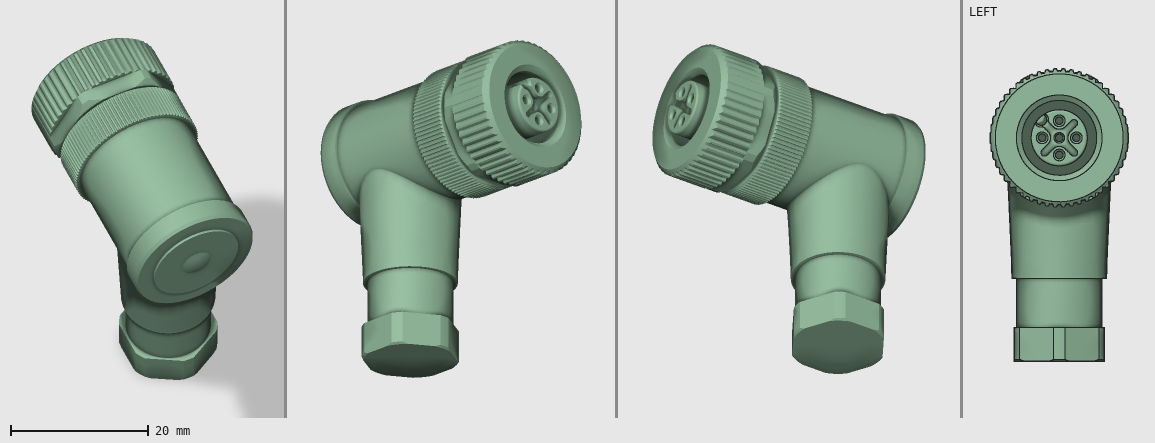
import cadquery as cq
import math


nut_front = 0.8
knurl_end = 7.8
nut_end = 10.25
ring_front = 10.7
ring_end = 16.3
cap_front = 32.95
cap_end = 36.25
disc_end = 36.6
dome_tip = 37.1

nut_radius = 20.2 / 2
nut_chamfer = 0.75
nut_back_chamfer = 0.8
nut_back_radius = 9.4
hex_flats = 18.05
nut_teeth = 52
tooth_depth = 0.4
tooth_tip_half = 0.15
step_tip_half = 0.1
tooth_root_half = 0.2
thread_radius = 10.93 / 2
bore_mouth_radius = 12.5 / 2
bore_floor = knurl_end

tooth_trim = 0.05

ring_radius = 9.8
ring_chamfer = 0.25
ring_teeth = 100
ring_tooth_depth = 0.2
ring_tip_half = 0.1
ring_root_half = 0.1
neck_radius = 13.5 / 2
neck_collar_radius = 6.9
neck_collar_length = 0.15

body_radius = 18.0 / 2
cap_radius = 19.0 / 2
cap_chamfer = 0.5
cap_chamfer_drop = 0.25
disc_radius = 13.5 / 2
dome_radius = 2.2

insert_radius = 8.2 / 2
insert_rounding = 0.35
pin_circle = 5.0 / 2
pin_radius = 1.1 / 2
pin_mouth_radius = 0.85
pin_sink = 0.35
pin_depth = 4.25
centre_mouth_radius = 0.75
centre_sink = 0.2
pin_boss_radius = 1.25
pocket_depth = 1.3
pocket_reach = 3.05
key_radius = 0.8
key_mouth_radius = 1.05
key_sink = 0.35
key_offset = 3.7
key_depth = 3.4

outlet_x = 26.97
boot_bottom = -20.5
boot_lip = 0.3
boot_radius = 6.9
boot_top = -4.25
boot_top_radius = 7.65
tube_radius = 12.5 / 2
gland_top = -27.65
gland_bottom = nut_radius - 42.7
gland_radius = 7.15
gland_flats = 13.15
gland_chamfer = 0.3


def disc(start, end, radius):
    """Cylinder on the main axis between two stations."""
    return cq.Workplane("YZ", origin=(start, 0, 0)).circle(radius).extrude(end - start)


def turned(points):
    """Solid turned about the main axis from (x, radius) points; the axis closes the outline."""
    outline = [(points[0][0], 0)] + points + [(points[-1][0], 0)]
    return cq.Workplane("XY").polyline(outline).close().revolve(360, (0, 0, 0), (1, 0, 0))


def countersunk_hole(start, mouth_radius, radius, sink, end):
    """Cutter for a blind hole on the main axis with a conical mouth."""
    return turned([(start, mouth_radius), (start + sink, radius), (end, radius)])


def polar(radius, angle):
    """Point (y, z) at an angle measured from +Z towards +Y."""
    return (radius * math.sin(angle), radius * math.cos(angle))


def trapezoid_groove(radius, depth, left, right, tip_half, root_half):
    """Corners of a groove between two tooth centres."""
    root = radius - depth
    middle = (left + right) / 2
    return [
        polar(radius, left + tip_half / radius),
        polar(root, middle - root_half / root),
        polar(root, middle + root_half / root),
        polar(radius, right - tip_half / radius),
    ]


def step_groove(radius, left, right, tip_half):
    """Corners of a stepped groove: one wall along Z, the other at 45 degrees to the radius."""
    ends = [polar(radius, left + tip_half / radius), polar(radius, right - tip_half / radius)]
    upper, side = sorted(ends, key=lambda point: abs(point[0]))
    side_angle = math.atan2(abs(side[1]), abs(side[0]))
    slope = math.tan(max(0, math.pi / 4 - side_angle))
    rise = (abs(side[0]) - abs(upper[0])) * slope
    corner = (upper[0], side[1] + math.copysign(rise, side[1]))
    return [ends[0], corner, ends[1]]


def nut_outline():
    """Toothed outline of the nut: regular at top and bottom, stepped towards the two sides."""
    pitch = 2 * math.pi / nut_teeth
    rough_radius = nut_radius + tooth_trim
    points = []
    for i in range(nut_teeth):
        left = (i - 0.5) * pitch
        right = left + pitch
        middle = i * pitch
        if abs(math.cos(middle)) > math.cos(math.radians(30)):
            points += trapezoid_groove(
                rough_radius, tooth_depth + tooth_trim, left, right, tooth_tip_half, tooth_root_half
            )
        elif abs(math.cos(middle)) < math.sin(pitch / 2):
            points += [polar(rough_radius, left), polar(rough_radius, right)]
        else:
            points += step_groove(rough_radius, left, right, step_tip_half)
    return points


def ring_outline():
    """Evenly toothed outline of the knurled ring."""
    pitch = 2 * math.pi / ring_teeth
    points = []
    for i in range(ring_teeth):
        points += trapezoid_groove(
            ring_radius + tooth_trim,
            ring_tooth_depth + tooth_trim,
            i * pitch,
            (i + 1) * pitch,
            ring_tip_half,
            ring_root_half,
        )
    return points


def toothed(start, end, outline):
    return cq.Workplane("YZ", origin=(start, 0, 0)).polyline(outline).close().extrude(end - start)


def hexagon_across_flats(workplane, flats):
    return workplane.polygon(6, flats / math.cos(math.pi / 6))


def make_nut():
    knurl = toothed(nut_front, knurl_end, nut_outline())
    hexagon = hexagon_across_flats(
        cq.Workplane("YZ", origin=(knurl_end, 0, 0)), hex_flats
    ).extrude(nut_end - knurl_end)
    envelope = turned([
        (nut_front, nut_radius - nut_chamfer),
        (nut_front + nut_chamfer, nut_radius),
        (nut_end - nut_back_chamfer, nut_radius),
        (nut_end, nut_back_radius),
    ])
    bore = turned([
        (nut_front, bore_mouth_radius),
        (nut_front + bore_mouth_radius - thread_radius, thread_radius),
        (bore_floor, thread_radius),
    ])
    return knurl.union(hexagon).intersect(envelope).cut(bore)


def make_ring():
    envelope = turned([
        (ring_front, ring_radius - ring_chamfer),
        (ring_front + ring_chamfer, ring_radius),
        (ring_end, ring_radius),
    ])
    neck = turned([
        (bore_floor, neck_radius),
        (nut_end, neck_radius),
        (nut_end, neck_collar_radius),
        (nut_end + neck_collar_length, neck_collar_radius),
        (nut_end + neck_collar_length, neck_radius),
        (ring_end, neck_radius),
    ])
    return toothed(ring_front, ring_end, ring_outline()).intersect(envelope).union(neck)


def make_outlet():
    boot = (
        cq.Workplane("XZ", origin=(outlet_x, 0, 0))
        .polyline([
            (0, boot_bottom),
            (boot_radius, boot_bottom),
            (boot_radius, boot_bottom + boot_lip),
            (boot_top_radius, boot_top),
            (0, boot_top),
        ])
        .close()
        .revolve(360, (0, 0, 0), (0, 1, 0))
    )
    tube = (
        cq.Workplane("XY", origin=(outlet_x, 0, gland_bottom))
        .circle(tube_radius)
        .extrude(boot_bottom - gland_bottom)
    )
    gland_base = cq.Workplane("XY", origin=(outlet_x, 0, gland_bottom))
    gland_height = gland_top - gland_bottom
    rounding = gland_base.circle(gland_radius).extrude(gland_height).faces("<Z").chamfer(gland_chamfer)
    gland = hexagon_across_flats(gland_base, gland_flats).extrude(gland_height).intersect(rounding)
    return boot.union(tube).union(gland)


def make_housing():
    body = disc(ring_front + ring_chamfer, cap_front, body_radius)
    cap = disc(cap_front, cap_end, cap_radius).faces(">X").chamfer(cap_chamfer, cap_chamfer_drop)
    end_disc = disc(cap_end, disc_end, disc_radius)
    height = dome_tip - disc_end
    sphere_radius = (dome_radius**2 + height**2) / (2 * height)
    dome = (
        cq.Workplane("XY", origin=(dome_tip - sphere_radius, 0, 0))
        .sphere(sphere_radius)
        .intersect(disc(cap_end, dome_tip, dome_radius))
    )
    return body.union(make_outlet()).union(cap).union(end_disc).union(dome)


def make_insert():
    insert = disc(0, bore_floor, insert_radius).faces("<X").edges().fillet(insert_rounding)
    pins = [(pin_circle, 0), (0, pin_circle), (-pin_circle, 0), (0, -pin_circle)]

    square_half = pin_circle / math.sqrt(2)
    arm_width = 2 * (square_half - pin_boss_radius)
    face = cq.Workplane("YZ")
    bosses = face.pushPoints(pins).circle(pin_boss_radius).extrude(pocket_depth)
    pocket = face.transformed(rotate=(0, 0, 45)).rect(2 * square_half, 2 * square_half)
    pocket = pocket.extrude(pocket_depth).cut(bosses)
    for angle in (45, 135):
        arm = face.transformed(rotate=(0, 0, angle)).slot2D(2 * pocket_reach + arm_width, arm_width)
        pocket = pocket.union(arm.extrude(pocket_depth))

    key_across = key_offset / math.sqrt(2)
    key = countersunk_hole(0, key_mouth_radius, key_radius, key_sink, key_depth)

    insert = insert.cut(pocket).cut(key.translate((0, key_across, key_across)))
    insert = insert.cut(
        countersunk_hole(pocket_depth, centre_mouth_radius, pin_radius, centre_sink, pin_depth)
    )
    socket = countersunk_hole(0, pin_mouth_radius, pin_radius, pin_sink, pin_depth)
    for y, z in pins:
        insert = insert.cut(socket.translate((0, y, z)))
    return insert


result = make_nut().union(make_ring()).union(make_housing()).union(make_insert())